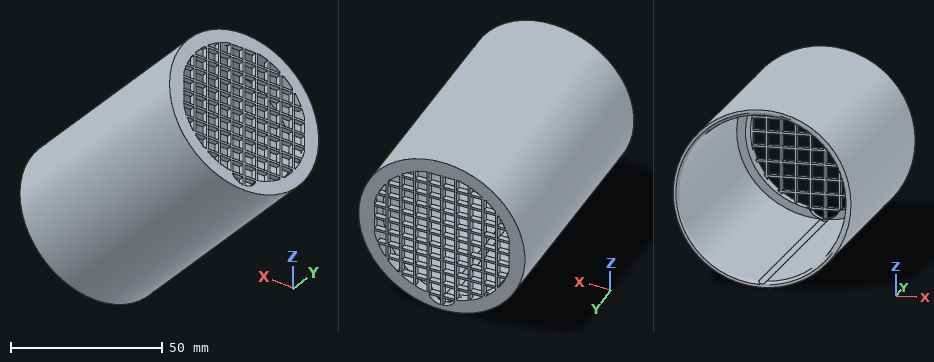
import math

import cadquery as cq

outer_radius = 30.4
wall = 2.0
bore_radius = outer_radius - wall
mouth_fillet = 1.0

floor_tilt = 12.0
clear_depth = 70.0
screen_thickness = 2.0
floor_drop = 2 * outer_radius * math.tan(math.radians(floor_tilt))
length = clear_depth + floor_drop + screen_thickness

window_radius = 25.4
notch_radius = 5.4
notch_center_z = notch_radius - bore_radius

bar_width = 0.8
bar_pitch = 5.0
bars_each_side = 5

groove_radius = 1.5
groove_depth = 0.75
groove_center_z = groove_radius - groove_depth - bore_radius

mouth_y = -length / 2
end_y = length / 2
screen_y = end_y - screen_thickness


def cylinder(radius, start_y, stop_y, center_z=0):
    """Solid cylinder parallel to Y between two Y positions."""
    plane = cq.Plane(origin=(0, start_y, center_z), xDir=(1, 0, 0), normal=(0, 1, 0))
    return cq.Workplane(plane).circle(radius).extrude(stop_y - start_y)


def space_above_floor():
    """Wide block with a slanted end: everything on the mouth side of the tilted floor."""
    profile = [
        (mouth_y, -outer_radius),
        (screen_y, -outer_radius),
        (screen_y - floor_drop, outer_radius),
        (mouth_y, outer_radius),
    ]
    return cq.Workplane("YZ").polyline(profile).close().extrude(outer_radius, both=True)


def make_tube():
    """Tube with its tilted floor, rounded mouth and drain groove."""
    above_floor = space_above_floor()
    bore = cylinder(bore_radius, mouth_y, screen_y).intersect(above_floor)
    groove = cylinder(groove_radius, mouth_y, screen_y, groove_center_z).intersect(above_floor)
    tube = cylinder(outer_radius, mouth_y, end_y).cut(bore)
    tube = tube.faces("<Y").edges(cq.selectors.RadiusNthSelector(0)).fillet(mouth_fillet)
    return tube.cut(groove)


def make_opening():
    """Round window joined with the drain notch, through the whole floor."""
    start_y = screen_y - floor_drop
    window = cylinder(window_radius, start_y, end_y)
    return window.union(cylinder(notch_radius, start_y, end_y, notch_center_z))


def make_bars():
    """Square grid of crossing bars in the screen layer."""
    span = 2 * outer_radius
    center_y = end_y - screen_thickness / 2
    offsets = [index * bar_pitch for index in range(-bars_each_side, bars_each_side + 1)]
    uprights = cq.Workplane("XY").pushPoints([(x, center_y) for x in offsets])
    grid = uprights.box(bar_width, screen_thickness, span)
    crossbars = cq.Workplane("YZ").pushPoints([(center_y, z) for z in offsets])
    return grid.union(crossbars.box(screen_thickness, bar_width, span))


result = make_tube().cut(make_opening().cut(make_bars()))